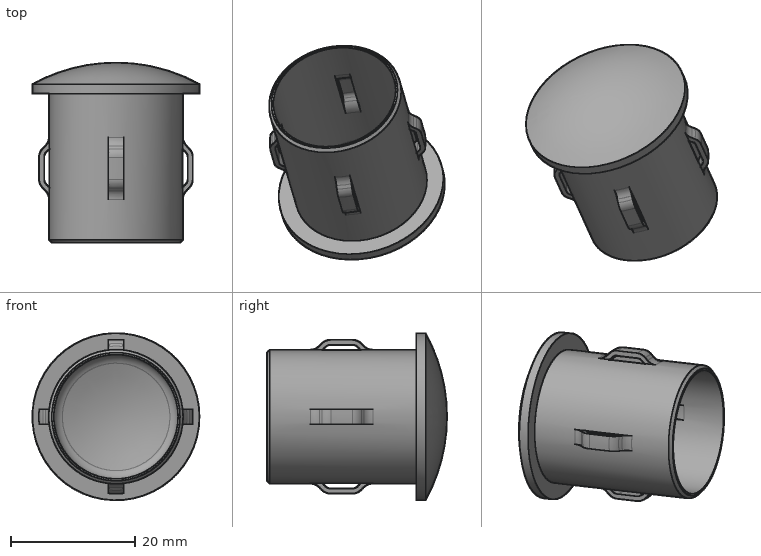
import cadquery as cq
import math

total_length = 29.0
flange_diameter = 26.9
tube_diameter = 21.6
wall = 0.8
tube_length = 24.0
flange_thickness = 1.5
end_chamfer = 0.5

head_thickness = 1.5
inner_fillet = 2.0

strap_count = 4
strap_width = 2.46
strap_length = 10.0
strap_rise = 1.6
strap_bend = 2.0

flange_radius = flange_diameter / 2
tube_radius = tube_diameter / 2
bore_radius = tube_radius - wall
dome_height = total_length - tube_length - flange_thickness
dome_radius = (flange_radius**2 + dome_height**2) / (2 * dome_height)
dome_center = tube_length + flange_thickness + dome_height - dome_radius
cavity_radius = dome_radius - head_thickness


def on_sphere(radius, distance):
    """Point of the (distance, y) half-plane on a sphere around the dome centre."""
    return (distance, dome_center + math.sqrt(radius**2 - distance**2))


def revolve(sketch):
    """Turn a closed XY profile about the Y axis."""
    return sketch.revolve(360, (0, 0, 0), (0, 1, 0))


def make_body():
    """Tube, flange and dome as one solid of revolution."""
    flange_top = tube_length + flange_thickness
    return revolve(
        cq.Workplane("XY")
        .lineTo(tube_radius - end_chamfer, 0)
        .lineTo(tube_radius, end_chamfer)
        .lineTo(tube_radius, tube_length)
        .lineTo(flange_radius, tube_length)
        .lineTo(flange_radius, flange_top)
        .threePointArc(on_sphere(dome_radius, flange_radius / 2), (0, total_length))
        .close()
    )


def make_cavity():
    """Bore with a rounded corner running into a spherical end concentric with the dome."""
    fillet_center = on_sphere(cavity_radius - inner_fillet, bore_radius - inner_fillet)
    tangent_distance = fillet_center[0] * cavity_radius / (cavity_radius - inner_fillet)
    tangent = on_sphere(cavity_radius, tangent_distance)
    half_turn = math.atan2(tangent[1] - fillet_center[1], tangent[0] - fillet_center[0]) / 2
    fillet_middle = (
        fillet_center[0] + inner_fillet * math.cos(half_turn),
        fillet_center[1] + inner_fillet * math.sin(half_turn),
    )
    return revolve(
        cq.Workplane("XY")
        .lineTo(bore_radius, 0)
        .lineTo(bore_radius, fillet_center[1])
        .threePointArc(fillet_middle, tangent)
        .threePointArc(on_sphere(cavity_radius, tangent[0] / 2), (0, dome_center + cavity_radius))
        .close()
    )


def make_raised_plug(base_radius, foot_bend, crown_bend):
    """Solid of revolution under one strap surface: S-bends at 45 degrees and a straight crown."""
    middle = tube_length / 2
    half_length = strap_length / 2
    crown_radius = base_radius + strap_rise
    sin45 = math.sin(math.pi / 4)
    ramp = strap_rise - (foot_bend + crown_bend) * (1 - sin45)
    foot_end = (
        base_radius + foot_bend * (1 - sin45),
        half_length - foot_bend * sin45,
    )
    crown_start = (foot_end[0] + ramp, foot_end[1] - ramp)
    half_crown = crown_start[1] - crown_bend * sin45
    sin_half = math.sin(math.pi / 8)
    cos_half = math.cos(math.pi / 8)
    foot_middle = (
        base_radius + foot_bend * (1 - cos_half),
        half_length - foot_bend * sin_half,
    )
    crown_middle = (
        crown_radius - crown_bend * (1 - cos_half),
        half_crown + crown_bend * sin_half,
    )

    def low(point):
        return (point[0], middle - point[1])

    def high(point):
        return (point[0], middle + point[1])

    return revolve(
        cq.Workplane("XY")
        .moveTo(0, middle - half_length)
        .lineTo(base_radius, middle - half_length)
        .threePointArc(low(foot_middle), low(foot_end))
        .lineTo(*low(crown_start))
        .threePointArc(low(crown_middle), (crown_radius, middle - half_crown))
        .lineTo(crown_radius, middle + half_crown)
        .threePointArc(high(crown_middle), high(crown_start))
        .lineTo(*high(foot_end))
        .threePointArc(high(foot_middle), (base_radius, middle + half_length))
        .lineTo(0, middle + half_length)
        .close()
    )


def make_slot():
    """Block on the +X side spanning the width and length of one strap."""
    return (
        cq.Workplane("XY")
        .box(flange_radius, strap_length, strap_width, centered=(False, True, True))
        .translate((0, tube_length / 2, 0))
    )


outer_plug = make_raised_plug(tube_radius, strap_bend, strap_bend)
inner_plug = make_raised_plug(bore_radius, strap_bend + wall, strap_bend - wall)
slot = make_slot()
strap = outer_plug.cut(inner_plug).intersect(slot)

result = make_body().cut(make_cavity())
for index in range(strap_count):
    angle = index * 360 / strap_count
    result = result.cut(slot.rotate((0, 0, 0), (0, 1, 0), angle))
    result = result.union(strap.rotate((0, 0, 0), (0, 1, 0), angle))